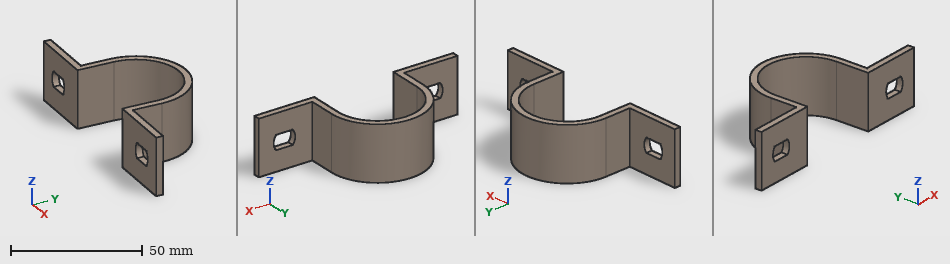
import cadquery as cq

length = 93.0
depth = 37.0
width = 25.0
thickness = 3.0
outer_radius = 21.5
hole_spacing = 69.0
hole_diameter = 10.0
hole_height = 6.5

inner_radius = outer_radius - thickness
half_length = length / 2
arc_center_y = depth - outer_radius


def strap():
    """Bent strap: two flanges joined by a U-shaped saddle."""
    return (
        cq.Workplane("XY")
        .moveTo(-half_length, 0)
        .lineTo(-inner_radius, 0)
        .lineTo(-inner_radius, arc_center_y)
        .threePointArc((0, arc_center_y + inner_radius), (inner_radius, arc_center_y))
        .lineTo(inner_radius, 0)
        .lineTo(half_length, 0)
        .lineTo(half_length, thickness)
        .lineTo(outer_radius, thickness)
        .lineTo(outer_radius, arc_center_y)
        .threePointArc((0, depth), (-outer_radius, arc_center_y))
        .lineTo(-outer_radius, thickness)
        .lineTo(-half_length, thickness)
        .close()
        .extrude(width)
    )


def flange_hole(center_x):
    """Cutter for a round hole with flats above and below."""
    cutter_depth = 2 * thickness
    plane = cq.Workplane("XZ", origin=(center_x, thickness / 2, width / 2))
    cylinder = plane.circle(hole_diameter / 2).extrude(cutter_depth / 2, both=True)
    slab = plane.rect(hole_diameter, hole_height).extrude(cutter_depth / 2, both=True)
    return cylinder.intersect(slab)


result = strap()
for side in (-1, 1):
    result = result.cut(flange_hole(side * hole_spacing / 2))